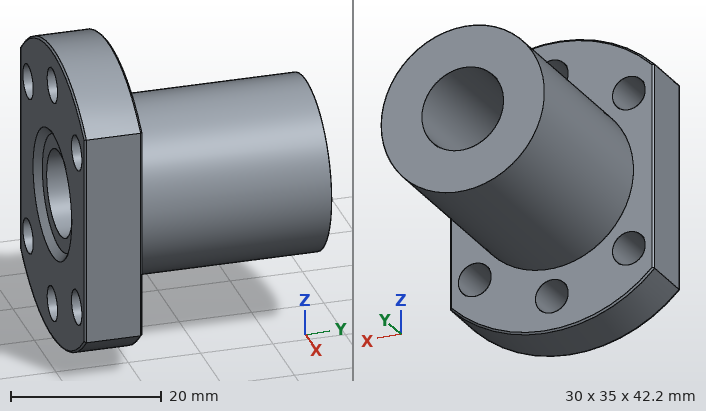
import cadquery as cq

flange_diameter = 42.25
flange_width = 30.0
flange_thickness = 8.0
flange_chamfer = 0.25

overall_length = 35.0
sleeve_diameter = 24.0

bore_diameter = 12.0
recess_floor_diameter = 16.0
recess_mouth_diameter = 18.0
recess_depth = (recess_mouth_diameter - recess_floor_diameter) / 2

hole_diameter = 4.8
hole_circle_radius = 16.0
hole_angles = (45, 90, 135, 225, 270, 315)


def cylinder(diameter, length):
    """Cylinder along +Y that starts on the front face at Y = 0."""
    return cq.Workplane("XZ").circle(diameter / 2).extrude(-length)


def make_flange():
    disc = cylinder(flange_diameter, flange_thickness)
    flats = cq.Workplane("XZ").rect(flange_width, flange_diameter).extrude(-flange_thickness)
    return disc.intersect(flats).faces("<Y or >Y").edges().chamfer(flange_chamfer)


def make_bore():
    """Revolved cutter: shallow conical recess with a flat floor, then the through bore."""
    profile = (
        cq.Workplane("XY")
        .lineTo(recess_mouth_diameter / 2, 0)
        .lineTo(recess_floor_diameter / 2, recess_depth)
        .lineTo(bore_diameter / 2, recess_depth)
        .lineTo(bore_diameter / 2, overall_length)
        .lineTo(0, overall_length)
        .close()
    )
    return profile.revolve(360, (0, 0, 0), (0, 1, 0))


def make_mounting_holes():
    hole = cylinder(hole_diameter, flange_thickness).translate((hole_circle_radius, 0, 0))
    holes = cq.Workplane("XZ")
    for angle in hole_angles:
        holes = holes.add(hole.rotate((0, 0, 0), (0, 1, 0), angle))
    return holes.combine()


sleeve = cylinder(sleeve_diameter, overall_length)
result = make_flange().union(sleeve).cut(make_bore()).cut(make_mounting_holes())